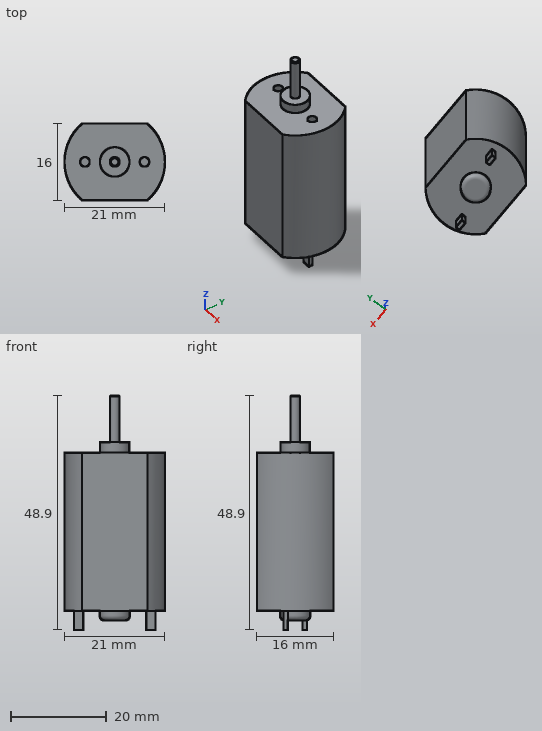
import cadquery as cq

overall_height = 48.85
terminal_length = 4.0
can_height = 32.95
can_bottom = terminal_length
can_top = can_bottom + can_height

can_diameter = 21.0
width_across_flats = 16.0

collar_diameter = 6.15
collar_height = 2.2
collar_top = can_top + collar_height
cap_diameter = 6.3
cap_height = 2.0
cap_rounding = 1.0

mount_hole_diameter = 2.0
mount_hole_depth = 2.0
mount_hole_spacing = 12.4

shaft_diameter = 2.0
shaft_chamfer = 0.2
shaft_length = overall_height - collar_top

terminal_width = 2.0
terminal_thickness = 1.0
terminal_offset_x = 7.5
terminal_offset_y = 2.0


def make_can():
    round_body = cq.Workplane("XY", origin=(0, 0, can_bottom)).circle(can_diameter / 2).extrude(can_height)
    flats = cq.Workplane("XY", origin=(0, 0, can_bottom)).rect(can_diameter, width_across_flats)
    return round_body.intersect(flats.extrude(can_height))


def make_collar():
    return cq.Workplane("XY", origin=(0, 0, can_top)).circle(collar_diameter / 2).extrude(collar_height)


def make_cap():
    cap = cq.Workplane("XY", origin=(0, 0, can_bottom)).circle(cap_diameter / 2).extrude(-cap_height)
    return cap.faces("<Z").edges().fillet(cap_rounding)


def make_mount_holes():
    hole_centers = [(-mount_hole_spacing / 2, 0), (mount_hole_spacing / 2, 0)]
    holes = cq.Workplane("XY", origin=(0, 0, can_top)).pushPoints(hole_centers)
    return holes.circle(mount_hole_diameter / 2).extrude(-mount_hole_depth)


def make_housing():
    return make_can().union(make_collar()).union(make_cap()).cut(make_mount_holes())


def make_shaft():
    shaft = cq.Workplane("XY", origin=(0, 0, collar_top)).circle(shaft_diameter / 2).extrude(shaft_length)
    return shaft.faces(">Z").edges().chamfer(shaft_chamfer)


def make_terminal(x, y):
    blade = cq.Workplane("XY", origin=(x, y, 0)).rect(terminal_width, terminal_thickness)
    return blade.extrude(terminal_length)


housing = make_housing()
shaft = make_shaft()
terminals = [make_terminal(side * terminal_offset_x, -side * terminal_offset_y) for side in (-1, 1)]

result = cq.Compound.makeCompound(
    [housing.val(), shaft.val(), *[terminal.val() for terminal in terminals]]
)